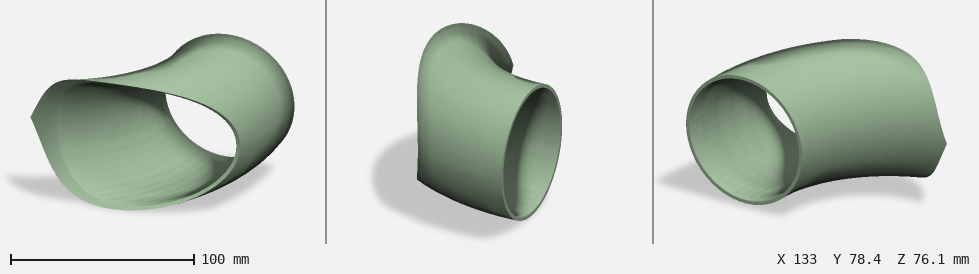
import cadquery as cq

longest_side = 133.0
pipe_diameter = 76.1
wall = 2.0
run_diameter = 88.9
bend_angle = 90.0
run_overhang = 13.3

pipe_radius = pipe_diameter / 2
run_radius = run_diameter / 2
bend_radius = longest_side - pipe_radius
inside_bend_radius = bend_radius - pipe_radius


def elbow():
    """Hollow quarter bend, swept from the plain end on +X round to -Y."""
    ring = cq.Workplane("XZ").center(bend_radius, 0).circle(pipe_radius).circle(pipe_radius - wall)
    return ring.revolve(bend_angle, (-bend_radius, 0, 0), (-bend_radius, -1, 0))


def run_pipe():
    """Outer envelope of the run pipe; its top touches the end of the elbow's inside curve."""
    run_axis_y = -(inside_bend_radius + run_radius)
    return (
        cq.Workplane("ZY")
        .center(0, run_axis_y)
        .circle(run_radius)
        .extrude(longest_side + run_overhang, both=True)
    )


result = elbow().cut(run_pipe())